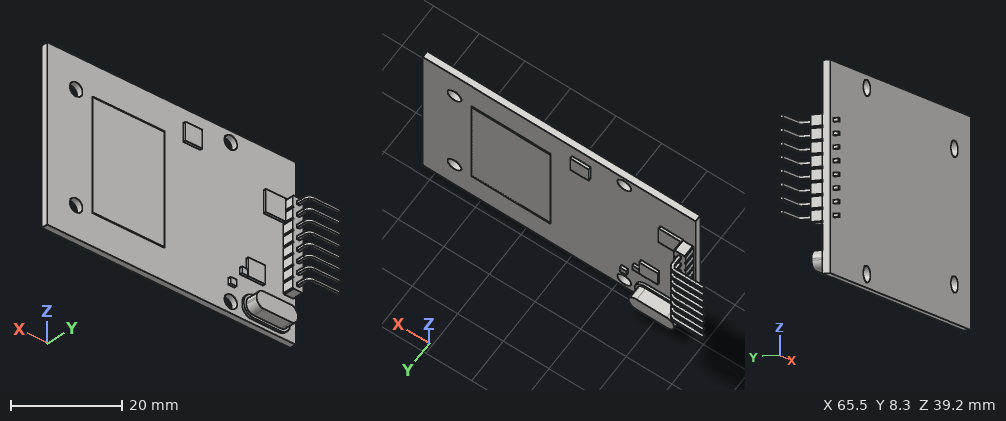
import cadquery as cq


board_length = 59.9
board_height = 39.2
board_thickness = 1.5
hole_diameter = 3.0
left_hole_x = 15.65
left_hole_spacing = 34.15
right_hole_x = 52.9
right_hole_spacing = 24.9
middle_z = board_height / 2

pin_count = 8
header_length = 20.0
header_depth = 2.55
header_height = 2.55
header_chamfer = 0.2
header_x = 1.7
pin_pitch = header_length / pin_count
pin_width = 0.64
pin_tail = 1.0
pin_rise = 5.8
pin_reach = 5.55
bend_radius = 1.0

crystal_x = 7.4
crystal_z = 3.35
can_length = 9.95
can_width = 3.7
crystal_height = 3.35
can_corner_radius = 1.7
flange_margin = 0.6
flange_height = 0.5

chip_height = 0.6
large_chip = 5.0
medium_chip = 4.05
small_chip = 1.45
chips = [
    (2.75, 24.9, large_chip),
    (7.9, 9.3, medium_chip),
    (12.05, 9.3, small_chip),
    (14.8, 5.9, small_chip),
    (23.05, 31.9, medium_chip),
]

antenna_length = 17.35
antenna_height = 24.9
antenna_thickness = 0.2
antenna_left = 31.75


def block(left, bottom, length, height, thickness):
    """Box standing on the back face of the board."""
    corner = (left, board_thickness, bottom)
    return cq.Workplane("XY", origin=corner).box(length, thickness, height, centered=False)


def make_board():
    half_left = left_hole_spacing / 2
    half_right = right_hole_spacing / 2
    hole_centers = [
        (left_hole_x, middle_z - half_left),
        (left_hole_x, middle_z + half_left),
        (right_hole_x, middle_z - half_right),
        (right_hole_x, middle_z + half_right),
    ]
    board = cq.Workplane("XY").box(board_length, board_thickness, board_height, centered=False)
    holes = (
        cq.Workplane("XZ")
        .pushPoints(hole_centers)
        .circle(hole_diameter / 2)
        .extrude(-board_thickness)
    )
    return board.cut(holes)


def make_cell(z):
    left = header_x - header_depth / 2
    bottom = z - pin_pitch / 2
    cell = block(left, bottom, header_depth, pin_pitch, header_height)
    return cell.edges("|Y").chamfer(header_chamfer)


def make_pin(z):
    pin_top = board_thickness + pin_rise - pin_width / 2
    path = (
        cq.Workplane("XY", origin=(0, 0, z))
        .moveTo(header_x, -pin_tail)
        .lineTo(header_x, pin_top - bend_radius)
        .tangentArcPoint((header_x - bend_radius, pin_top), relative=False)
        .lineTo(-pin_reach, pin_top)
    )
    section = cq.Workplane("XZ", origin=(header_x, -pin_tail, z)).rect(pin_width, pin_width)
    return section.sweep(path)


def crystal_layer(margin, height):
    """Outline of the can, grown by a margin, raised from the back face of the board."""
    return (
        cq.Workplane("XZ", origin=(crystal_x, board_thickness, crystal_z))
        .rect(can_length + 2 * margin, can_width + 2 * margin)
        .extrude(-height)
        .edges("|Y")
        .fillet(can_corner_radius + margin)
    )


def make_crystal():
    can = crystal_layer(0, crystal_height)
    flange = crystal_layer(flange_margin, flange_height)
    return can.union(flange)


def make_chip(left, bottom, size):
    return block(left, bottom, size, size, chip_height)


def make_antenna():
    antenna_bottom = middle_z - antenna_height / 2
    return block(antenna_left, antenna_bottom, antenna_length, antenna_height, antenna_thickness)


result = make_board().union(make_crystal())
for index in range(pin_count):
    pin_z = middle_z + (index - (pin_count - 1) / 2) * pin_pitch
    result = result.union(make_cell(pin_z)).union(make_pin(pin_z))

for left, bottom, size in chips:
    result = result.union(make_chip(left, bottom, size))

result = result.union(make_antenna())